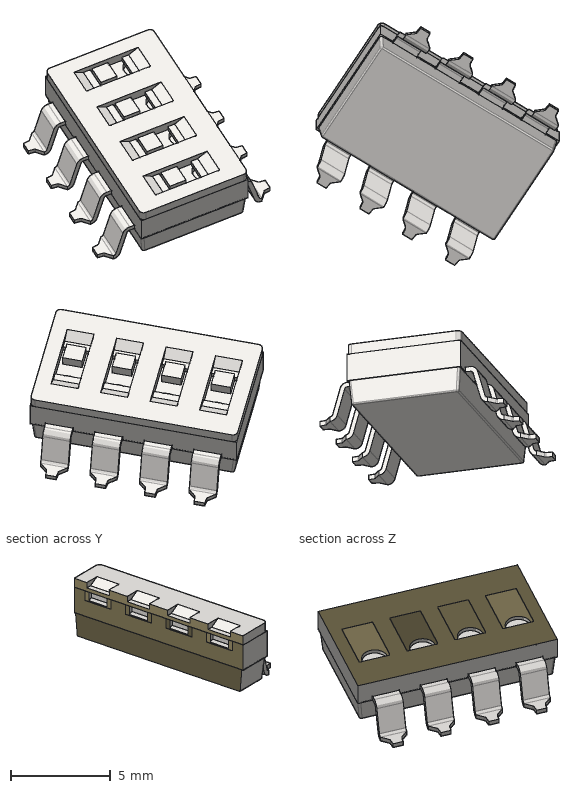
import cadquery as cq
import math


SWITCH_COUNT = 4
PITCH = 2.54
LENGTH = 10.6
WIDTH = 6.0
LEAD_SPAN = 9.7
TOTAL_HEIGHT = 3.7

BASE_BOTTOM = 0.5
HOUSING_BOTTOM = 1.75
COVER_THICKNESS = 0.53
COVER_BOTTOM = TOTAL_HEIGHT - COVER_THICKNESS
HOUSING_HEIGHT = COVER_BOTTOM - HOUSING_BOTTOM

COVER_CORNER_RADIUS = 0.25
WINDOW_WIDTH = 1.38
WINDOW_TOP_LENGTH = 3.6
LEDGE_LENGTH = 2.54
LEDGE_DEPTH = 0.3
OPENING_LENGTH = 1.78

KNOB_WIDTH = 1.0
KNOB_LENGTH = 0.9
KNOB_HEIGHT = 0.51
PLATE_WIDTH = 1.6
PLATE_LENGTH = 2.6
PLATE_THICKNESS = 0.5
NOTCH_RADIUS = 0.65
NOTCH_FRONT_Y = 0.68
NOTCH_DEPTH = 0.44

BASE_INSET = 0.06
BASE_DRAFT = 5.0
BASE_CORNER_RADIUS = 0.12
BASE_EDGE_RADIUS = 0.08

LEAD_WIDTH = 1.4
LEAD_THICKNESS = 0.25
LEAD_INNER_Y = 2.0
BEND_START_Y = 3.25
BEND_INNER_RADIUS = 0.15
BEND_OUTER_RADIUS = BEND_INNER_RADIUS + LEAD_THICKNESS
LEG_TILT = 16.0
FOOT_NECK_Y = 4.5
FOOT_NECK_RADIUS = 0.1
FOOT_NECK_WIDTH = 0.62
FOOT_TIP_WIDTH = 0.54
LEAD_SLOT_WIDTH = 1.45

SWITCH_X = [(index - (SWITCH_COUNT - 1) / 2) * PITCH for index in range(SWITCH_COUNT)]


def block(size_x, size_y, height, bottom, x=0, y=0):
    """Upright block centred on (x, y) and standing on the level `bottom`."""
    return cq.Workplane("XY").box(size_x, size_y, height, centered=(True, True, False)).translate((x, y, bottom))


def window_cutter(x):
    """Window sloping down to a ledge at each end, with a straight opening between the ledges."""
    half_top = WINDOW_TOP_LENGTH / 2
    half_ledge = LEDGE_LENGTH / 2
    half_opening = OPENING_LENGTH / 2
    ledge_level = TOTAL_HEIGHT - LEDGE_DEPTH
    profile = [
        (-half_top, TOTAL_HEIGHT),
        (-half_ledge, ledge_level),
        (-half_opening, ledge_level),
        (-half_opening, COVER_BOTTOM),
        (half_opening, COVER_BOTTOM),
        (half_opening, ledge_level),
        (half_ledge, ledge_level),
        (half_top, TOTAL_HEIGHT),
    ]
    outline = cq.Workplane("YZ").polyline(profile).close()
    return outline.extrude(WINDOW_WIDTH / 2, both=True).translate((x, 0, 0))


def make_cover():
    plate = block(LENGTH, WIDTH, COVER_THICKNESS, COVER_BOTTOM)
    plate = plate.edges("|Z").fillet(COVER_CORNER_RADIUS)
    for x in SWITCH_X:
        plate = plate.cut(window_cutter(x))
    return plate


def make_slider(x):
    """Slider with a round notch in the +Y end of its plate."""
    plate = block(PLATE_WIDTH, PLATE_LENGTH, PLATE_THICKNESS, COVER_BOTTOM - PLATE_THICKNESS, x)
    knob = block(KNOB_WIDTH, KNOB_LENGTH, KNOB_HEIGHT, COVER_BOTTOM, x, KNOB_LENGTH / 2 - OPENING_LENGTH / 2)
    notch = (
        cq.Workplane("XY", origin=(x, NOTCH_FRONT_Y + NOTCH_RADIUS, COVER_BOTTOM))
        .circle(NOTCH_RADIUS)
        .extrude(-NOTCH_DEPTH)
    )
    return plate.cut(notch).union(knob)


def make_housing():
    housing = block(LENGTH, WIDTH, HOUSING_HEIGHT, HOUSING_BOTTOM)
    slot_length = WIDTH / 2 - LEAD_INNER_Y
    slot_y = (WIDTH / 2 + LEAD_INNER_Y) / 2
    for x in SWITCH_X:
        pocket = block(PLATE_WIDTH, PLATE_LENGTH, PLATE_THICKNESS, COVER_BOTTOM - PLATE_THICKNESS, x)
        housing = housing.cut(pocket)
        for side in (-1, 1):
            slot = block(LEAD_SLOT_WIDTH, slot_length, LEAD_THICKNESS, HOUSING_BOTTOM, x, side * slot_y)
            housing = housing.cut(slot)
    return housing


def make_base_block():
    base_height = HOUSING_BOTTOM - BASE_BOTTOM
    base = (
        cq.Workplane("XY", origin=(0, 0, HOUSING_BOTTOM))
        .rect(LENGTH - 2 * BASE_INSET, WIDTH - 2 * BASE_INSET)
        .extrude(-base_height, taper=BASE_DRAFT)
    )
    base = base.edges("not #Z").fillet(BASE_CORNER_RADIUS)
    return base.faces("<Z").edges().fillet(BASE_EDGE_RADIUS)


def make_lead():
    """Lead on the +Y side, centred on X = 0."""
    tilt = math.radians(LEG_TILT)
    lead_top = HOUSING_BOTTOM + LEAD_THICKNESS
    shoulder_z = lead_top - BEND_OUTER_RADIUS
    ankle_z = BEND_OUTER_RADIUS
    radii_sum = BEND_OUTER_RADIUS + BEND_INNER_RADIUS
    leg_drop = shoulder_z - ankle_z + radii_sum * math.sin(tilt)
    foot_start_y = BEND_START_Y + radii_sum * math.cos(tilt) + leg_drop * math.tan(tilt)

    def on_shoulder(radius, angle):
        return (BEND_START_Y + radius * math.sin(angle), shoulder_z + radius * math.cos(angle))

    def on_ankle(radius, angle):
        return (foot_start_y - radius * math.sin(angle), ankle_z - radius * math.cos(angle))

    bend = math.pi / 2 - tilt
    half_bend = bend / 2
    tip_y = LEAD_SPAN / 2
    strip = (
        cq.Workplane("YZ")
        .moveTo(LEAD_INNER_Y, lead_top)
        .lineTo(BEND_START_Y, lead_top)
        .threePointArc(on_shoulder(BEND_OUTER_RADIUS, half_bend), on_shoulder(BEND_OUTER_RADIUS, bend))
        .lineTo(*on_ankle(BEND_INNER_RADIUS, bend))
        .threePointArc(on_ankle(BEND_INNER_RADIUS, half_bend), (foot_start_y, LEAD_THICKNESS))
        .lineTo(tip_y, LEAD_THICKNESS)
        .lineTo(tip_y, 0)
        .lineTo(foot_start_y, 0)
        .threePointArc(on_ankle(BEND_OUTER_RADIUS, half_bend), on_ankle(BEND_OUTER_RADIUS, bend))
        .lineTo(*on_shoulder(BEND_INNER_RADIUS, bend))
        .threePointArc(on_shoulder(BEND_INNER_RADIUS, half_bend), (BEND_START_Y, HOUSING_BOTTOM))
        .lineTo(LEAD_INNER_Y, HOUSING_BOTTOM)
        .close()
        .extrude(LEAD_WIDTH / 2, both=True)
    )
    right_side = [
        (LEAD_WIDTH / 2, LEAD_INNER_Y),
        (LEAD_WIDTH / 2, foot_start_y),
        (FOOT_NECK_WIDTH / 2, FOOT_NECK_Y),
        (FOOT_TIP_WIDTH / 2, tip_y),
    ]
    left_side = [(-x, y) for x, y in reversed(right_side)]
    plan = cq.Workplane("XY").polyline(right_side + left_side).close().extrude(lead_top)
    neck_corners = cq.selectors.BoxSelector(
        (-FOOT_NECK_WIDTH, FOOT_NECK_Y - FOOT_NECK_RADIUS, 0),
        (FOOT_NECK_WIDTH, FOOT_NECK_Y + FOOT_NECK_RADIUS, lead_top),
    )
    plan = plan.edges(neck_corners).fillet(FOOT_NECK_RADIUS)
    return strip.intersect(plan)


def make_base():
    base = make_base_block()
    lead = make_lead()
    for x in SWITCH_X:
        base = base.union(lead.translate((x, 0, 0)))
        base = base.union(lead.mirror("XZ").translate((x, 0, 0)))
    return base


cover = make_cover()
housing = make_housing()
base = make_base()
sliders = [make_slider(x) for x in SWITCH_X]

result = cq.Compound.makeCompound([
    cover.val(),
    housing.val(),
    base.val(),
    *[slider.val() for slider in sliders],
])